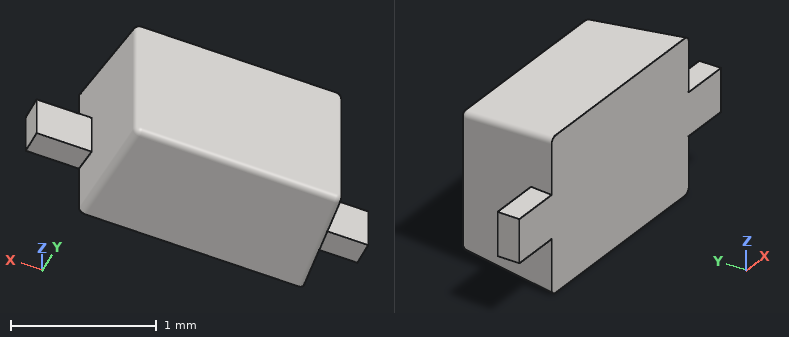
import cadquery as cq

body_length = 1.7
body_height = 1.25
body_depth = 0.8
draft_angle = 5.0
edge_radius = 0.05

lead_span = 2.5
lead_width = 0.35
lead_thickness = 0.18


def make_body():
    """Drafted block with rounded sloping corners and rounded +Y rim."""
    block = (
        cq.Workplane("XZ")
        .rect(body_length, body_height)
        .extrude(-body_depth, taper=draft_angle)
    )
    return block.edges("not(<Y)").fillet(edge_radius)


def make_leads():
    """One straight bar through the body, forming both terminals."""
    return cq.Workplane("XZ").rect(lead_span, lead_width).extrude(-lead_thickness)


result = make_body().union(make_leads())